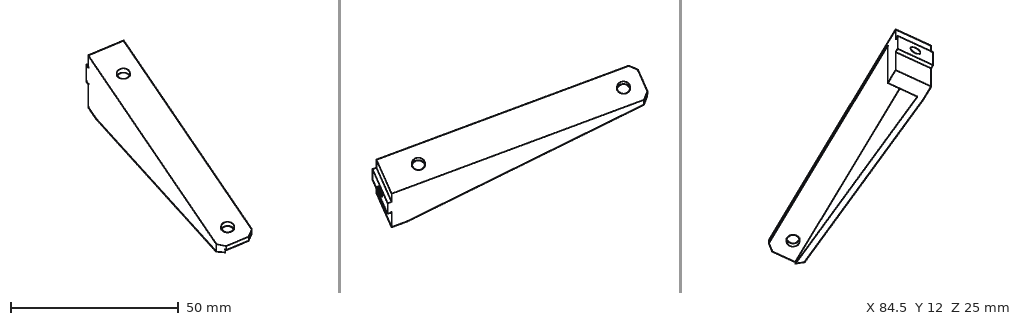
import cadquery as cq

length = 84.5
width = 12.0
height = 25.0

tab_depth = 1.3
tab_height = 7.95
tab_center_drop = 10.0
foot_length = 5.0
tip_height = 3.1

wall = 2.0

tip_chamfer_x = 2.0
tip_chamfer_y = 2.2

mount_hole_diameter = 4.0
rear_hole_x = 12.3
hole_spacing = 66.0
tab_hole_diameter = 3.3


def bracket_body():
    """Tapered side profile with the locating tab, centred on Y = 0."""
    tab_top = -tab_center_drop + tab_height / 2
    tab_bottom = -tab_center_drop - tab_height / 2
    outline = [
        (tab_depth, 0),
        (length, 0),
        (length, -tip_height),
        (tab_depth + foot_length, -height),
        (tab_depth, -height),
        (tab_depth, tab_bottom),
        (0, tab_bottom),
        (0, tab_top),
        (tab_depth, tab_top),
    ]
    return cq.Workplane("XZ").polyline(outline).close().extrude(width / 2, both=True)


def side_pocket():
    """Space behind the web, open at +Y, at the tip and below; it leaves the top and rear flanges."""
    return cq.Workplane("XY").box(
        length - tab_depth - foot_length,
        width - wall,
        height - wall,
        centered=False,
    ).translate((tab_depth + foot_length, wall - width / 2, -height))


def tip_corner_cut(side):
    """Vertical wedge removing one tip corner; side is +1 or -1 along Y."""
    edge = side * width / 2
    corner = [
        (length, edge),
        (length - tip_chamfer_x, edge),
        (length, edge - side * tip_chamfer_y),
    ]
    return cq.Workplane("XY").polyline(corner).close().extrude(-height)


def mount_holes():
    """Two vertical through holes along the centre line."""
    centers = [(rear_hole_x, 0), (rear_hole_x + hole_spacing, 0)]
    return cq.Workplane("XY").pushPoints(centers).circle(mount_hole_diameter / 2).extrude(-height)


def tab_hole():
    """Lengthwise hole from the tab through the rear flange."""
    return (
        cq.Workplane("YZ")
        .center(0, -tab_center_drop)
        .circle(tab_hole_diameter / 2)
        .extrude(tab_depth + foot_length)
    )


result = bracket_body().cut(side_pocket())
for side in (1, -1):
    result = result.cut(tip_corner_cut(side))
result = result.cut(mount_holes()).cut(tab_hole())